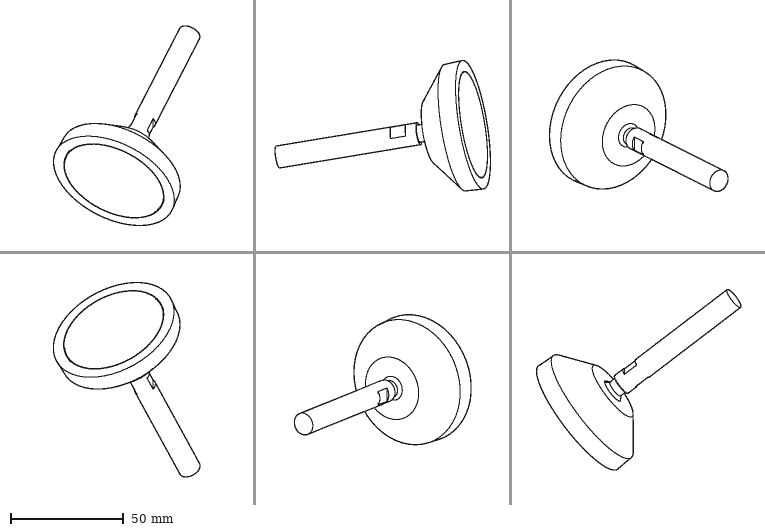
import cadquery as cq
import math

total_length = 90.0
rim_height = 8.2
foot_height = 20.0
neck_start = 21.5
neck_end = 25.0
flats_start = 30.0
flats_end = 37.0

foot_diameter = 58.0
rim_top_diameter = 57.15
foot_top_diameter = 28.5
groove_outer_diameter = 48.0
groove_inner_diameter = 47.5
groove_depth = 1.0

stem_diameter = 10.0
neck_diameter = 7.8
across_flats = neck_diameter
ball_radius = 6.75
ball_center = neck_start - math.sqrt(ball_radius**2 - (neck_diameter / 2) ** 2)


def revolve_about_y(profile):
    """Solid of revolution about the Y axis from (radius, y) points."""
    return cq.Workplane("XY").polyline(profile).close().revolve(360, (0, 0, 0), (0, 1, 0))


def make_ball():
    """Ball at the foot end of the stem; it also shapes the socket in the foot."""
    return cq.Workplane("XY").sphere(ball_radius).translate((0, ball_center, 0))


def make_groove():
    """Narrow ring-shaped groove cut into the contact face."""
    return (
        cq.Workplane("XZ")
        .circle(groove_outer_diameter / 2)
        .circle(groove_inner_diameter / 2)
        .extrude(-groove_depth)
    )


def make_foot():
    """Conical foot on a slightly drafted rim, with a ball socket and a grooved face."""
    profile = [
        (0, 0),
        (foot_diameter / 2, 0),
        (rim_top_diameter / 2, rim_height),
        (foot_top_diameter / 2, foot_height),
        (0, foot_height),
    ]
    return revolve_about_y(profile).cut(make_ball()).cut(make_groove())


def make_flat_cutter(side):
    """Block that cuts one wrench flat on the -X (side -1) or +X (side 1) side of the stem."""
    block_width = stem_diameter
    center_x = side * (across_flats + block_width) / 2
    return (
        cq.Workplane("XY")
        .box(block_width, flats_end - flats_start, stem_diameter)
        .translate((center_x, (flats_start + flats_end) / 2, 0))
    )


def make_stem():
    """Stem with a ball end, a neck and two opposite wrench flats."""
    profile = [
        (0, ball_center),
        (neck_diameter / 2, ball_center),
        (neck_diameter / 2, neck_end),
        (stem_diameter / 2, neck_end),
        (stem_diameter / 2, total_length),
        (0, total_length),
    ]
    body = revolve_about_y(profile).union(make_ball())
    for side in (-1, 1):
        body = body.cut(make_flat_cutter(side))
    return body


foot = make_foot()
stem = make_stem()

result = cq.Compound.makeCompound([foot.val(), stem.val()])